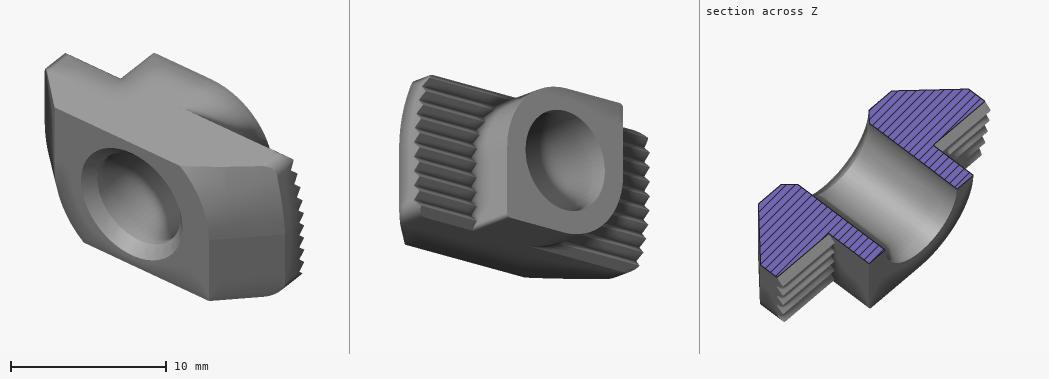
import cadquery as cq

length = 19.5
depth = 8.5
height = 9.8
half_length = length / 2
half_height = height / 2
front_y = -depth / 2
back_y = depth / 2

stem_length = 3.0
flange_back_y = back_y - stem_length
corner_radius = 1.0
end_arc_radius = 14.62
end_arc_top_x = 8.72
bevel = 3.5
front_half_length = half_length - bevel

tooth_count = 10
tooth_depth = 0.55
tooth_pitch = height / tooth_count

stem_corner_radius = 0.3
stem_round_overlap = 0.1
stem_round_radius = half_height + stem_round_overlap

bore_radius = 3.35
countersink_radius = 4.11
countersink_depth = countersink_radius - bore_radius


def xz_plane(y):
    """Sketch plane with local axes X and Z, extruding toward +Y for negative lengths."""
    return cq.Workplane("XZ", origin=(0, y, 0))


def make_flange():
    """Rounded plate reaching from the front face to the tooth tips."""
    plate = (
        xz_plane(front_y)
        .moveTo(-half_length, half_height)
        .lineTo(end_arc_top_x, half_height)
        .radiusArc((half_length, 0), end_arc_radius)
        .lineTo(half_length, -half_height)
        .lineTo(-end_arc_top_x, -half_height)
        .radiusArc((-half_length, 0), end_arc_radius)
        .close()
        .extrude(front_y - flange_back_y)
    )
    corners = plate.edges("|Y").edges(">Z or <Z")
    return corners.fillet(corner_radius)


def make_bevel_envelope():
    """Body bounding the beveled ends: flat on two quadrants, conical on the other two."""
    reach = flange_back_y - front_y
    back_half_length = front_half_length + reach
    cone = cq.Workplane(
        cq.Solid.makeCone(
            front_half_length, back_half_length, reach,
            cq.Vector(0, front_y, 0), cq.Vector(0, 1, 0),
        )
    )
    wedge = (
        cq.Workplane("XY")
        .polyline([
            (0, front_y),
            (front_half_length, front_y),
            (back_half_length, flange_back_y),
            (0, flange_back_y),
        ])
        .close()
        .extrude(-half_height)
    )
    opposite_wedge = wedge.rotate((0, 0, 0), (0, 1, 0), 180)
    return cone.union(wedge).union(opposite_wedge)


def make_tooth_grooves():
    """V grooves along X, one centered on each boundary between teeth."""
    valley_y = flange_back_y - tooth_depth
    grooves = cq.Workplane("YZ", origin=(-length, 0, 0))
    for index in range(tooth_count + 1):
        valley_z = -half_height + index * tooth_pitch
        grooves = (
            grooves
            .moveTo(valley_y, valley_z)
            .lineTo(flange_back_y, valley_z + tooth_pitch / 2)
            .lineTo(flange_back_y, valley_z - tooth_pitch / 2)
            .close()
        )
    return grooves.extrude(2 * length)


def make_stem():
    """Square stem with one diagonal pair of corners fully rounded, the other slightly."""
    stem_root_y = flange_back_y - tooth_depth
    stem = xz_plane(stem_root_y).rect(height, height).extrude(stem_root_y - back_y)
    for corner in (">(1, 0, 1)", "<(1, 0, 1)"):
        stem = stem.edges("|Y").edges(corner).fillet(stem_round_radius)
    for corner in (">(1, 0, -1)", "<(1, 0, -1)"):
        stem = stem.edges("|Y").edges(corner).fillet(stem_corner_radius)
    return stem


def make_bore():
    """Through bore with a 45 degree countersink in the front face."""
    bore = xz_plane(front_y).circle(bore_radius).extrude(-depth)
    countersink = cq.Solid.makeCone(
        countersink_radius, bore_radius, countersink_depth,
        cq.Vector(0, front_y, 0), cq.Vector(0, 1, 0),
    )
    return bore.union(cq.Workplane(countersink))


flange = make_flange().intersect(make_bevel_envelope()).cut(make_tooth_grooves())
result = flange.union(make_stem()).cut(make_bore())